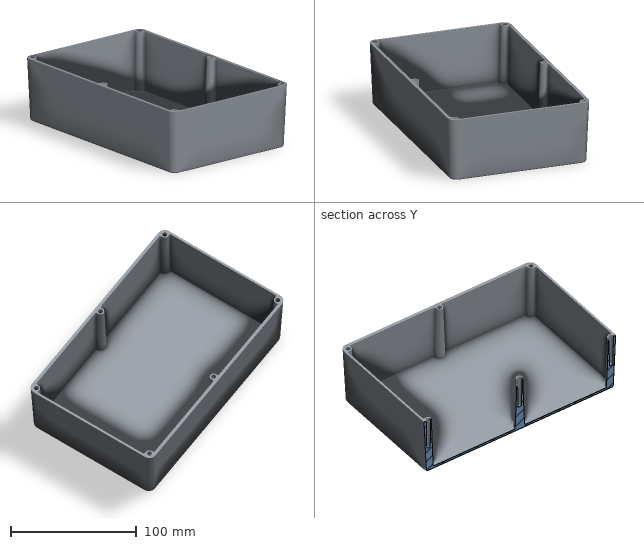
import cadquery as cq
import math

length = 188.0
width = 119.5
height = 52.0
outer_draft = 2.0
corner_radius = 6.0
base_edge_radius = 1.3

end_wall = 1.9
side_wall = 2.6
floor_thickness = 2.5
inner_draft = 2.0
floor_edge_radius = 1.0
cavity_depth = height - floor_thickness

boss_radius = 3.0
boss_blend_radius = 1.41
hole_end_inset = 4.7
hole_side_inset = 5.0
hole_mouth_diameter = 4.0
hole_end_diameter = 2.8
hole_tip_angle = 118.0
hole_depth = 28.2
hole_x = length / 2 - hole_end_inset
hole_y = width / 2 - hole_side_inset


def rim_plane():
    return cq.Workplane("XY", origin=(0, 0, height))


def tapered_block(size_x, size_y, depth, draft):
    """Rectangular block hanging from the rim plane, narrowing downward."""
    return rim_plane().rect(size_x, size_y).extrude(-depth, taper=draft)


def corner_boss():
    """Boss at the +X +Y corner: one rounded edge, joined to both walls."""
    inner_x = hole_x - boss_radius
    inner_y = hole_y - boss_radius
    profile = (
        rim_plane()
        .moveTo(length / 2, width / 2)
        .lineTo(inner_x, width / 2)
        .lineTo(inner_x, hole_y)
        .radiusArc((hole_x, inner_y), -boss_radius)
        .lineTo(length / 2, inner_y)
        .close()
    )
    return profile.extrude(-cavity_depth, taper=-inner_draft)


def middle_boss():
    """Boss halfway along the +Y wall: a round nose joined to the wall."""
    profile = (
        rim_plane()
        .moveTo(-boss_radius, width / 2)
        .lineTo(-boss_radius, hole_y)
        .threePointArc((0, hole_y - boss_radius), (boss_radius, hole_y))
        .lineTo(boss_radius, width / 2)
        .close()
    )
    return profile.extrude(-cavity_depth, taper=-inner_draft)


def make_shell():
    block = tapered_block(length, width, height, outer_draft)
    corners = block.edges("not(#Z)").fillet(corner_radius)
    return corners.faces("<Z").edges().fillet(base_edge_radius)


def is_boss_wall_edge(edge):
    """True for an edge where a boss flank meets a wall, outward of the hole centres."""
    middle = edge.Center()
    margin = 0.2
    return abs(middle.x) > hole_x + margin or abs(middle.y) > hole_y + margin


def make_cavity():
    cavity = tapered_block(length - 2 * end_wall, width - 2 * side_wall, cavity_depth, inner_draft)
    corner = corner_boss()
    middle = middle_boss()
    far_corner = corner.mirror("YZ")
    for boss in (corner, middle, far_corner):
        cavity = cavity.cut(boss).cut(boss.mirror("XZ"))
    blended = cavity.edges("not(#Z)").filter(is_boss_wall_edge).fillet(boss_blend_radius)
    return blended.faces("<Z").edges().fillet(floor_edge_radius)


def make_screw_hole():
    """Blind tapered hole with a conical bottom, centred on the Z axis."""
    mouth_radius = hole_mouth_diameter / 2
    end_radius = hole_end_diameter / 2
    tip_depth = end_radius / math.tan(math.radians(hole_tip_angle / 2))
    return (
        cq.Workplane("XZ")
        .moveTo(0, height)
        .lineTo(mouth_radius, height)
        .lineTo(end_radius, height - hole_depth)
        .lineTo(0, height - hole_depth - tip_depth)
        .close()
        .revolve(360, (0, 0, 0), (0, 1, 0))
    )


result = make_shell().cut(make_cavity())
screw_hole = make_screw_hole()
for x in (-hole_x, 0, hole_x):
    for y in (-hole_y, hole_y):
        result = result.cut(screw_hole.translate((x, y, 0)))